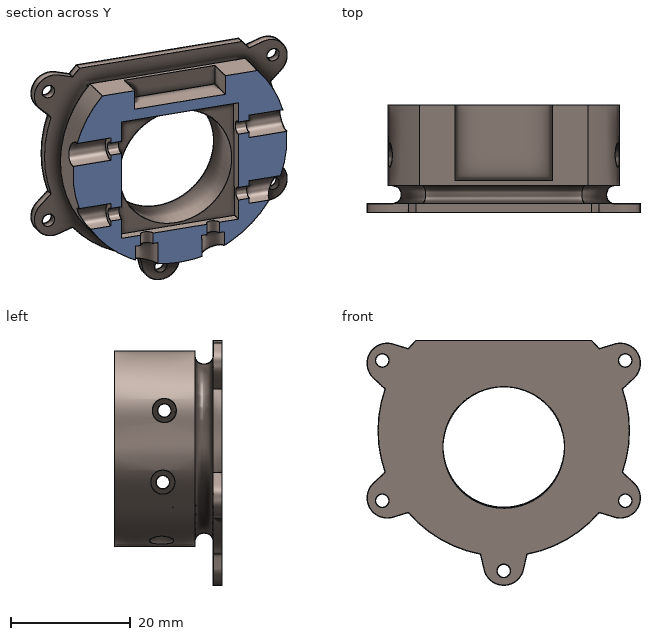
import cadquery as cq
import math


overall_width = 45.7
flange_thickness = 1.5
flange_radius = 21.0
flange_flat = 15.07
ear_spread = 30
ear_angles = (ear_spread, 180 - ear_spread, 180 + ear_spread, 270, 360 - ear_spread)
ear_radius = 3.4
ear_taper = 13
ear_hole_reach = 23.45
small_hole_diameter = 2.2

neck_length = 3.0
neck_inset = 2.2
neck_fillet = 1.35

total_depth = 18.0
housing_radius = 19.35
housing_flat = 13.35

slot_width = 16.35
slot_depth = 3.4
slot_front_wall = 0.8

tilt = 1.2
axis_height = -2.85
bore_diameter = 20.3
bore_depth = 8.0
pocket_side = 21.1
screw_depth = 9.78
screw_offset = 6.0
screw_head_diameter = 4.0
screw_seat_reach = 12.5

ear_centre_reach = (overall_width / 2 - ear_radius) / math.cos(math.radians(ear_spread))
ear_tip_reach = ear_centre_reach + ear_radius

neck_start = flange_thickness
housing_start = neck_start + neck_length
overshoot = 4.55


def flat_topped_disc(radius, flat_height, start, length):
    """Disc along +Y with its top cut off at flat_height."""
    half_chord = math.sqrt(radius**2 - flat_height**2)
    return (
        cq.Workplane("XZ", origin=(0, start, 0))
        .moveTo(-half_chord, flat_height)
        .lineTo(half_chord, flat_height)
        .threePointArc((0, -radius), (-half_chord, flat_height))
        .close()
        .extrude(-length)
    )


def make_ear(angle):
    """Tapered, round-ended ear pointing along the given angle, with its screw hole."""
    lean = math.radians(ear_taper)
    tangent_x = ear_centre_reach + ear_radius * math.sin(lean)
    tangent_z = ear_radius * math.cos(lean)
    root_x = flange_radius - ear_radius
    root_z = tangent_z + (tangent_x - root_x) * math.tan(lean)
    ear = (
        cq.Workplane("XZ")
        .moveTo(root_x, -root_z)
        .lineTo(tangent_x, -tangent_z)
        .threePointArc((ear_tip_reach, 0), (tangent_x, tangent_z))
        .lineTo(root_x, root_z)
        .close()
        .extrude(-flange_thickness)
    )
    hole = (
        cq.Workplane("XZ")
        .center(ear_hole_reach, 0)
        .circle(small_hole_diameter / 2)
        .extrude(-flange_thickness)
    )
    return ear.cut(hole).rotate((0, 0, 0), (0, 1, 0), -angle)


def make_body():
    """Flange, filleted neck and housing, with the ears added."""
    flange = flat_topped_disc(flange_radius, flange_flat, 0, flange_thickness)
    neck_radius = housing_radius - neck_inset
    neck_flat = housing_flat - neck_inset
    neck = flat_topped_disc(neck_radius, neck_flat, neck_start, neck_length)
    housing = flat_topped_disc(
        housing_radius, housing_flat, housing_start, total_depth - housing_start
    )
    body = flange.union(neck).union(housing)
    margin = 0.45
    around_neck = cq.selectors.BoxSelector(
        (-neck_radius - margin, neck_start - margin, -neck_radius - margin),
        (neck_radius + margin, housing_start + margin, neck_flat + margin),
        boundingbox=True,
    )
    body = body.edges(around_neck).edges("not(|Y)").fillet(neck_fillet)
    for angle in ear_angles:
        body = body.union(make_ear(angle))
    return body


def make_slot():
    """Open-backed slot across the housing's top flat."""
    front = housing_start + slot_front_wall
    return cq.Workplane("XY").box(
        slot_width, total_depth, 2 * slot_depth, centered=(True, False, True)
    ).translate((0, front, housing_flat))


def make_screw_hole():
    """Counterbored radial hole along +X, starting at the axis."""
    shank = cq.Workplane("YZ").circle(small_hole_diameter / 2).extrude(housing_radius)
    head = (
        cq.Workplane("YZ", origin=(screw_seat_reach, 0, 0))
        .circle(screw_head_diameter / 2)
        .extrude(housing_radius)
    )
    return shank.union(head)


def make_motor_cavity():
    """Bore, square pocket and screw holes, tilted together about X."""
    bore = (
        cq.Workplane("XZ", origin=(0, -overshoot, 0))
        .circle(bore_diameter / 2)
        .extrude(-(overshoot + bore_depth))
    )
    pocket = (
        cq.Workplane("XZ", origin=(0, bore_depth, 0))
        .rect(pocket_side, pocket_side)
        .extrude(-(total_depth - bore_depth + overshoot))
    )
    cavity = bore.union(pocket)
    for turn in (0, 90, 180):
        for offset in (-screw_offset, screw_offset):
            hole = make_screw_hole().translate((0, screw_depth, offset))
            cavity = cavity.union(hole.rotate((0, 0, 0), (0, 1, 0), turn))
    return cavity.rotate((0, 0, 0), (1, 0, 0), tilt).translate((0, 0, axis_height))


result = make_body().cut(make_slot()).cut(make_motor_cavity())